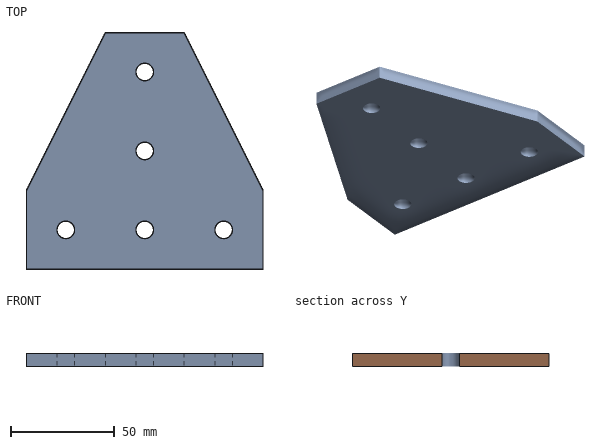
import cadquery as cq

side = 114.3
thickness = 6.4
module = side / 3
hole_diameter = 8.3

half_side = side / 2
half_module = module / 2

outline = [
    (-half_side, -half_side),
    (half_side, -half_side),
    (half_side, -half_side + module),
    (half_module, half_side),
    (-half_module, half_side),
    (-half_side, -half_side + module),
]
plate = cq.Workplane("XY").polyline(outline).close().extrude(thickness)

crossbar_y = -half_side + half_module
crossbar_holes = [(column * module, crossbar_y) for column in (-1, 0, 1)]
stem_holes = [(0, crossbar_y + row * module) for row in (1, 2)]

result = (
    plate.faces(">Z")
    .workplane(origin=(0, 0, thickness))
    .pushPoints(crossbar_holes + stem_holes)
    .hole(hole_diameter)
)